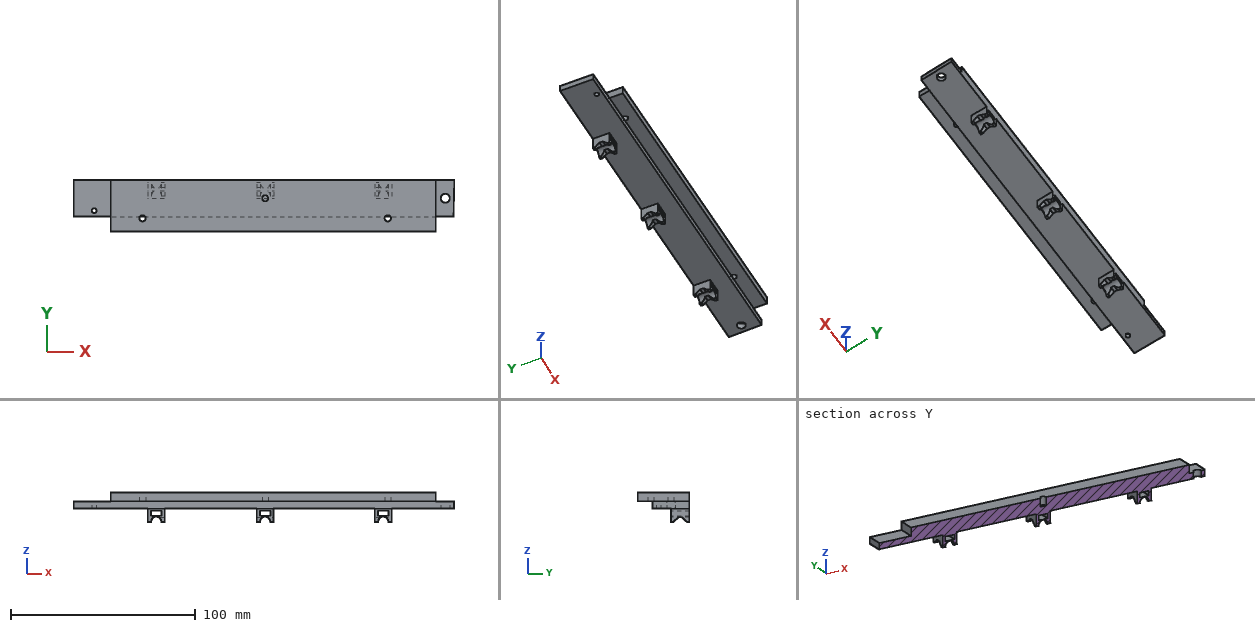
import cadquery as cq

length = 206.0
depth = 28.0
height = 16.0

rail_depth = 20.0
rail_thickness = 4.0
rail_end_slant = 0.5

plate_thickness = 5.0
plate_length = 176.0
plate_left = 20.0

foot_width = 9.3
foot_depth = rail_depth / 2
foot_offsets = (-58.3, 0.6, 64.5)

arch_radius = 2.7
arch_center_height = 0.2
window_width = 5.5
window_height = 2.5
window_drop = 1.2
groove_mouth = 7.5
groove_height = 2.5
groove_roof = 2.0

plate_hole_diameter = 3.3
plate_hole_center_x = 0.6
plate_hole_spacing = 66.3
plate_hole_front_gap = 7.2
small_hole_diameter = 2.5
small_hole_end_gap = 11.1
small_hole_front_gap = 3.3
large_hole_diameter = 4.7
large_hole_end_gap = 5.0

left = -length / 2
right = length / 2
front = -depth / 2
back = depth / 2
bottom = -height / 2
top = height / 2
plate_bottom = top - plate_thickness
rail_bottom = plate_bottom - rail_thickness
rail_front = back - rail_depth
rail_middle = back - rail_depth / 2
foot_front = back - foot_depth
foot_middle = back - foot_depth / 2
foot_height = rail_bottom - bottom


def block(x, y, z, size_x, size_y, size_z):
    """Box placed by its lowest corner."""
    return cq.Workplane("XY").box(size_x, size_y, size_z, centered=False).translate((x, y, z))


def vertical_holes(points, diameter, z, depth_up):
    """Round cutters that start at height z and rise by depth_up."""
    return cq.Workplane("XY").workplane(offset=z).pushPoints(points).circle(diameter / 2).extrude(depth_up)


def make_rail():
    outline = [
        (left, rail_front),
        (right - rail_end_slant, rail_front),
        (right, back),
        (left, back),
    ]
    rail = cq.Workplane("XY").workplane(offset=rail_bottom).polyline(outline).close().extrude(rail_thickness)
    small_hole = (left + small_hole_end_gap, rail_front + small_hole_front_gap)
    large_hole = (right - large_hole_end_gap, rail_middle)
    rail = rail.cut(vertical_holes([small_hole], small_hole_diameter, rail_bottom, rail_thickness))
    return rail.cut(vertical_holes([large_hole], large_hole_diameter, rail_bottom, rail_thickness))


def make_plate():
    plate = block(left + plate_left, front, plate_bottom, plate_length, depth, plate_thickness)
    points = [(plate_hole_center_x, rail_middle)]
    for side in (-1, 1):
        points.append((plate_hole_center_x + side * plate_hole_spacing, front + plate_hole_front_gap))
    return plate.cut(vertical_holes(points, plate_hole_diameter, plate_bottom, plate_thickness))


def make_foot(x):
    foot = block(x - foot_width / 2, foot_front, bottom, foot_width, foot_depth, foot_height)

    window_bottom = rail_bottom - window_drop - window_height
    window = block(x - window_width / 2, foot_front, window_bottom, window_width, foot_depth, window_height)
    arch = (
        cq.Workplane("XZ", origin=(x, back, bottom))
        .moveTo(-arch_radius, 0)
        .lineTo(-arch_radius, arch_center_height)
        .threePointArc((0, arch_center_height + arch_radius), (arch_radius, arch_center_height))
        .lineTo(arch_radius, 0)
        .close()
        .extrude(foot_depth)
    )

    groove = (
        cq.Workplane("YZ", origin=(x - foot_width / 2, foot_middle, bottom))
        .moveTo(-groove_mouth / 2, 0)
        .lineTo(-groove_roof / 2, groove_height)
        .lineTo(groove_roof / 2, groove_height)
        .lineTo(groove_mouth / 2, 0)
        .close()
        .extrude(foot_width)
    )
    return foot.cut(window).cut(arch).cut(groove)


result = make_rail().union(make_plate())
for offset in foot_offsets:
    result = result.union(make_foot(offset))